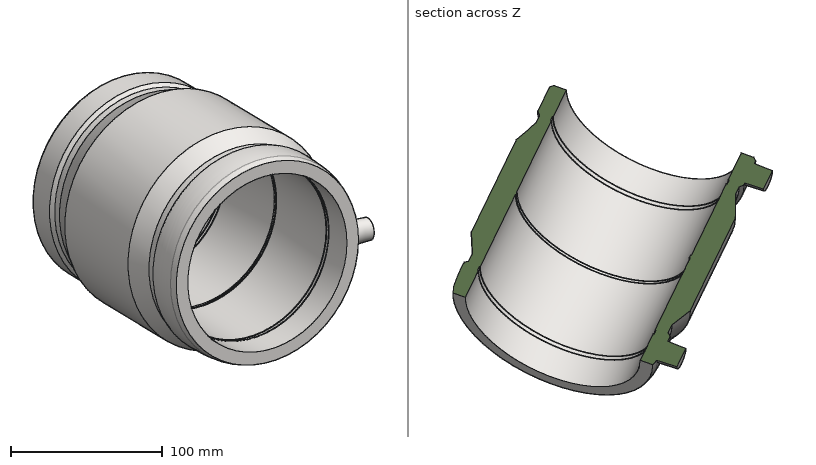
import cadquery as cq


length = 173.0
left_chamfer_end = 2.2
left_collar_end = 22.3
left_neck_start = 25.0
left_neck_end = 30.8
body_start = 48.0
body_end = 125.0
right_neck_start = 139.7
right_neck_end = 146.2
right_collar_start = 148.2
right_chamfer_start = 168.2

body_radius = 157.0 / 2
collar_radius = 147.8 / 2
crowned_middle_radius = 73.8
crowned_end_radius = 73.0
neck_radius = 143.15 / 2

bore_radius = 125.0 / 2
stop_radius = 123.75 / 2
stop_width = 2.0
stop_center = length / 2

groove_depth = 0.6
groove_radius = bore_radius + groove_depth
groove_width = 3.0
groove_inset = 22.5

terminal_inset = 12.5
terminal_tip_y = 87.0
terminal_base_y = 70.0
terminal_tip_radius = 15.7 / 2
terminal_base_radius = 17.0 / 2


def make_sleeve():
    """Revolve the wall section, drawn as (x, radius), about the X axis."""
    stop_start = stop_center - stop_width / 2
    stop_end = stop_center + stop_width / 2
    right_collar_middle = (right_collar_start + right_chamfer_start) / 2
    outer_wall_to_right_collar = [
        (0, neck_radius),
        (left_chamfer_end, collar_radius),
        (left_collar_end, collar_radius),
        (left_neck_start, neck_radius),
        (left_neck_end, neck_radius),
        (body_start, body_radius),
        (body_end, body_radius),
        (right_neck_start, neck_radius),
        (right_neck_end, neck_radius),
        (right_collar_start, collar_radius),
    ]
    section = (
        cq.Workplane("XY")
        .polyline(outer_wall_to_right_collar)
        .threePointArc(
            (right_collar_middle, crowned_middle_radius),
            (right_chamfer_start, crowned_end_radius),
        )
        .lineTo(length, neck_radius)
        .lineTo(length, bore_radius)
        .lineTo(stop_end, bore_radius)
        .lineTo(stop_end, stop_radius)
        .lineTo(stop_start, stop_radius)
        .lineTo(stop_start, bore_radius)
        .lineTo(0, bore_radius)
        .close()
    )
    return section.revolve(360, (0, 0, 0), (1, 0, 0))


def make_terminal(x):
    """Tapered round post that starts inside the collar wall and points to +Y."""
    post = cq.Solid.makeCone(
        terminal_base_radius,
        terminal_tip_radius,
        terminal_tip_y - terminal_base_y,
        cq.Vector(x, terminal_base_y, 0),
        cq.Vector(0, 1, 0),
    )
    return cq.Workplane(post)


def make_bore_groove(start_x):
    """Disc that cuts one ring groove, starting at start_x."""
    disc = cq.Workplane("YZ", origin=(start_x, 0, 0)).circle(groove_radius)
    return disc.extrude(groove_width)


result = make_sleeve()
for terminal_x in (terminal_inset, length - terminal_inset):
    result = result.union(make_terminal(terminal_x))
for groove_start in (groove_inset, length - groove_inset - groove_width):
    result = result.cut(make_bore_groove(groove_start))